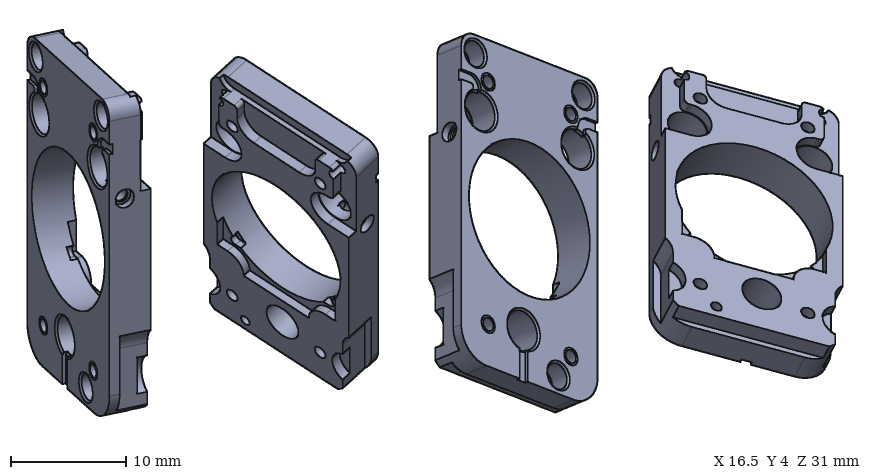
import cadquery as cq
import math

WIDTH = 16.5
HEIGHT = 31.0
THICKNESS = 4.0
HALF_WIDTH = WIDTH / 2
HALF_HEIGHT = HEIGHT / 2
TOP_CORNER_RADIUS = 1.5
BOTTOM_CORNER_RADIUS = 3.0
MARGIN = 1.55

POCKET_FLOOR = 3.0
STEP_FLOOR = 2.5
SIDE_RECESS_FLOOR = 1.0

BORE_DIAMETER = 14.6
EDGE_CHAMFER = 0.2

PORT_DIAMETER = 3.63
PORT_X = 5.83
PORT_Z = 8.52
LOWER_PORT = (-0.7, -10.7)
PORTS = [(-PORT_X, PORT_Z), (PORT_X, PORT_Z), LOWER_PORT]

SCREW_HOLE_DIAMETER = 1.0
COUNTERBORE_DIAMETER = 2.4
COUNTERBORE_DEPTH = 2.0
SCREW_X = 6.5
SCREW_Z = 13.75
LOWER_SCREW_X = 3.5
SCREWS = [(-SCREW_X, SCREW_Z), (SCREW_X, SCREW_Z), (LOWER_SCREW_X, -SCREW_Z)]

INSERT_BORE_DIAMETER = 1.25
FRONT_INSERT_DIAMETER = 1.65
FRONT_INSERT_LENGTH = POCKET_FLOOR
INSERT_X = 5.0
INSERT_Z = 11.5
FRONT_INSERTS = [(x, z) for x in (-INSERT_X, INSERT_X) for z in (-INSERT_Z, INSERT_Z)]

SIDE_INSERT_DIAMETER = 1.77
SIDE_INSERT_LENGTH = 0.25
SIDE_INSERT_SINK = 0.75
SIDE_HOLE_DEPTH = 3.0
SIDE_HOLE_Y = 1.5
SIDE_HOLE_Z = 6.23
DRILL_POINT_ANGLE = 118.0

GROOVE_WIDTH = 0.95
GROOVE_DEPTH = 0.3
GROOVE_BEND_RADIUS = 0.75
GROOVE_Z = 11.25
GROOVE_PORT_X = 6.32

POST_TOP_DROP = 1.0
POST_TOP_Z = HALF_HEIGHT - POST_TOP_DROP
POST_OUTER_X = SCREW_X
POST_INNER_X = 4.43
POST_OUTER_ROUND = 0.5
POST_INNER_ROUND = 0.37
PORT_SLOT_RADIUS = 1.9
TOP_POCKET_Z = 11.15
TOP_POCKET_RADIUS = 1.85

TOP_STEP_HALF_LENGTH = 6.0
TOP_STEP_RADIUS = 1.3

BORE_POCKET_FLOOR = 3.2
BORE_POCKET_HALF_WIDTH = 6.7
BORE_POCKET_Z = -7.8
SHOULDER_TOP_Z = -5.9
SHOULDER_INNER_X = 3.7
SHOULDER_RADIUS = 1.85
NOTCH_WIDTH = 0.95
NOTCH_END_X = 5.33
NOTCH_Z = -5.1

SIDE_RECESS_INSET = 0.7
SIDE_RECESS_RADIUS = 2.0
SIDE_RECESS_WALL_TOP_Z = -8.5
SIDE_NOTCH_RADIUS = 1.9
BOTTOM_STEP_HEIGHT = 0.55


def plane_at(y):
    """Sketch plane at depth y whose local axes are X and Z; extrusions run towards +Y."""
    return cq.Workplane(cq.Plane(origin=(0, y, 0), xDir=(1, 0, 0), normal=(0, -1, 0)))


def from_front(sketch, depth):
    """Extrude a sketch on a plane_at() plane in the +Y direction."""
    return sketch.extrude(-depth)


def cut_to_back(y, draw):
    """Cutter from depth y through the back; draw adds the closed outline to the plane."""
    return from_front(draw(plane_at(y)), THICKNESS - y + MARGIN)


def both_sides(body):
    """A body together with its mirror image across the YZ plane."""
    return body.union(body.mirror("YZ"))


def box_to_back(y, x_range, z_range):
    """Rectangular cutter over the given X and Z ranges, from depth y through the back."""
    (x0, x1), (z0, z1) = x_range, z_range
    return cut_to_back(y, lambda w: w.center((x0 + x1) / 2, (z0 + z1) / 2).rect(x1 - x0, z1 - z0))


def blank():
    plate = from_front(plane_at(0).rect(WIDTH, HEIGHT), THICKNESS)
    plate = plate.edges("|Y and >Z").fillet(TOP_CORNER_RADIUS)
    return plate.edges("|Y and <Z").fillet(BOTTOM_CORNER_RADIUS)


def chamfered_holes(points, diameter, depth):
    """Cutter for holes that enter through the front face with a 45 degree chamfer."""
    holes = from_front(plane_at(0).pushPoints(points).circle(diameter / 2), depth)
    rims = plane_at(0).pushPoints(points).circle(diameter / 2 + EDGE_CHAMFER)
    return holes.union(rims.extrude(-EDGE_CHAMFER, taper=45))


def front_holes():
    """All round holes along Y: bore, ports, counterbored screw holes and insert holes."""
    bore = from_front(plane_at(0).circle(BORE_DIAMETER / 2), THICKNESS)
    ports = chamfered_holes(PORTS, PORT_DIAMETER, THICKNESS)
    counterbores = chamfered_holes(SCREWS, COUNTERBORE_DIAMETER, COUNTERBORE_DEPTH)
    screw_holes = from_front(plane_at(0).pushPoints(SCREWS).circle(SCREW_HOLE_DIAMETER / 2), THICKNESS)
    insert_holes = from_front(
        plane_at(0).pushPoints(FRONT_INSERTS).circle(FRONT_INSERT_DIAMETER / 2), FRONT_INSERT_LENGTH
    )
    insert_bores = from_front(
        plane_at(0).pushPoints(FRONT_INSERTS).circle(INSERT_BORE_DIAMETER / 2), THICKNESS
    )
    return bore.union(ports).union(counterbores).union(screw_holes).union(insert_holes).union(insert_bores)


def side_hole():
    """Blind drilled hole in the left side: recess for the insert, narrower hole and drill point."""
    seat_end = SIDE_INSERT_SINK + SIDE_INSERT_LENGTH
    hole_radius = INSERT_BORE_DIAMETER / 2
    seat_radius = SIDE_INSERT_DIAMETER / 2
    point_length = hole_radius / math.tan(math.radians(DRILL_POINT_ANGLE / 2))
    half_section = cq.Workplane("XY", origin=(-HALF_WIDTH, SIDE_HOLE_Y, SIDE_HOLE_Z)).polyline(
        [
            (0, 0),
            (0, seat_radius),
            (seat_end, seat_radius),
            (seat_end, hole_radius),
            (SIDE_HOLE_DEPTH, hole_radius),
            (SIDE_HOLE_DEPTH + point_length, 0),
        ]
    )
    return half_section.close().revolve(360, (0, 0, 0), (1, 0, 0))


def groove_cutter(outline, port):
    """Groove of the given outline whose floor is chamfered where it meets the port."""
    groove = from_front(outline, GROOVE_DEPTH + EDGE_CHAMFER)
    channel = from_front(plane_at(0).rect(WIDTH, HEIGHT), GROOVE_DEPTH)
    rim = plane_at(GROOVE_DEPTH).center(*port).circle(PORT_DIAMETER / 2 + EDGE_CHAMFER)
    return groove.intersect(channel.union(rim.extrude(-EDGE_CHAMFER, taper=45)))


def side_groove():
    """Groove from the left edge that bends down into the left upper port."""
    bend_start_x = -GROOVE_PORT_X - GROOVE_BEND_RADIUS
    inner_radius = GROOVE_BEND_RADIUS - GROOVE_WIDTH / 2
    outer_radius = GROOVE_BEND_RADIUS + GROOVE_WIDTH / 2
    bend_z = GROOVE_Z - GROOVE_BEND_RADIUS
    diagonal = math.sqrt(0.5)
    outline = (
        plane_at(0)
        .moveTo(-HALF_WIDTH, bend_z + outer_radius)
        .lineTo(bend_start_x, bend_z + outer_radius)
        .threePointArc(
            (bend_start_x + outer_radius * diagonal, bend_z + outer_radius * diagonal),
            (bend_start_x + outer_radius, bend_z),
        )
        .lineTo(bend_start_x + outer_radius, PORT_Z)
        .lineTo(bend_start_x + inner_radius, PORT_Z)
        .lineTo(bend_start_x + inner_radius, bend_z)
        .threePointArc(
            (bend_start_x + inner_radius * diagonal, bend_z + inner_radius * diagonal),
            (bend_start_x, bend_z + inner_radius),
        )
        .lineTo(-HALF_WIDTH, bend_z + inner_radius)
        .close()
    )
    return groove_cutter(outline, (-PORT_X, PORT_Z))


def lower_groove():
    """Straight groove from the lower port to the bottom edge."""
    port_x, port_z = LOWER_PORT
    length = HALF_HEIGHT + port_z
    outline = plane_at(0).center(port_x, port_z - length / 2).rect(GROOVE_WIDTH, length)
    return groove_cutter(outline, LOWER_PORT)


def upper_side_cut():
    """Removes the back layer left of the left post and the slot that joins the port to the side."""
    outside = (-HALF_WIDTH - MARGIN, -POST_OUTER_X)
    slot_bottom_z = PORT_Z - PORT_SLOT_RADIUS
    slot_top_z = PORT_Z + PORT_SLOT_RADIUS
    beside_post = box_to_back(POCKET_FLOOR, outside, (PORT_Z, HALF_HEIGHT + MARGIN))
    slot = box_to_back(POCKET_FLOOR, (outside[0], -PORT_X), (slot_bottom_z, slot_top_z))
    slot_end = cut_to_back(POCKET_FLOOR, lambda w: w.center(-PORT_X, PORT_Z).circle(PORT_SLOT_RADIUS))
    return beside_post.union(slot).union(slot_end)


def post_corner_round(z, inward):
    """Cutter that rounds the outer corner of the left post at height z; inward points into the post."""
    r = POST_OUTER_ROUND
    corner_x = -POST_OUTER_X
    return cut_to_back(
        POCKET_FLOOR,
        lambda w: w.moveTo(corner_x, z)
        .lineTo(corner_x, z + inward * r)
        .radiusArc((corner_x + r, z), -inward * r)
        .close(),
    )


def top_pocket():
    """Open-topped pocket between the posts: rounded lips, then wide concave bottom corners."""
    lip = POST_INNER_ROUND
    corner = TOP_POCKET_RADIUS
    wall = POST_INNER_X
    open_z = HALF_HEIGHT + MARGIN
    strip = box_to_back(
        POCKET_FLOOR, (-HALF_WIDTH - MARGIN, HALF_WIDTH + MARGIN), (POST_TOP_Z, open_z)
    )
    trough = cut_to_back(
        POCKET_FLOOR,
        lambda w: w.moveTo(-wall - lip, POST_TOP_Z)
        .radiusArc((-wall, POST_TOP_Z - lip), lip)
        .lineTo(-wall, TOP_POCKET_Z + corner)
        .radiusArc((-wall + corner, TOP_POCKET_Z), -corner)
        .lineTo(wall - corner, TOP_POCKET_Z)
        .radiusArc((wall, TOP_POCKET_Z + corner), -corner)
        .lineTo(wall, POST_TOP_Z - lip)
        .radiusArc((wall + lip, POST_TOP_Z), lip)
        .close(),
    )
    return strip.union(trough)


def top_step():
    """Step in the top edge, with concave ends that run out at the plate corners."""
    r = TOP_STEP_RADIUS
    end_x = TOP_STEP_HALF_LENGTH
    return cut_to_back(
        STEP_FLOOR,
        lambda w: w.moveTo(-end_x, POST_TOP_Z)
        .lineTo(end_x, POST_TOP_Z)
        .radiusArc((end_x + r, POST_TOP_Z + r), -r)
        .lineTo(-end_x - r, POST_TOP_Z + r)
        .radiusArc((-end_x, POST_TOP_Z), -r)
        .close(),
    )


def bore_pocket():
    """Pocket behind the lower half of the bore, with a rounded shoulder at each side."""
    bore_center_z = 0
    wall = BORE_POCKET_HALF_WIDTH
    r = SHOULDER_RADIUS
    inner = SHOULDER_INNER_X
    top = SHOULDER_TOP_Z
    return cut_to_back(
        BORE_POCKET_FLOOR,
        lambda w: w.moveTo(-wall, bore_center_z)
        .lineTo(-wall, top)
        .lineTo(-inner - r, top)
        .radiusArc((-inner, top - r), r)
        .lineTo(-inner, BORE_POCKET_Z)
        .lineTo(inner, BORE_POCKET_Z)
        .lineTo(inner, top - r)
        .radiusArc((inner + r, top), r)
        .lineTo(wall, top)
        .lineTo(wall, bore_center_z)
        .close(),
    )


def bore_notches():
    """Round-ended notches in the bore wall, one at each side."""
    notch = box_to_back(
        STEP_FLOOR,
        (-NOTCH_END_X, 0),
        (NOTCH_Z - NOTCH_WIDTH / 2, NOTCH_Z + NOTCH_WIDTH / 2),
    )
    notch_end = cut_to_back(STEP_FLOOR, lambda w: w.center(-NOTCH_END_X, NOTCH_Z).circle(NOTCH_WIDTH / 2))
    return both_sides(notch.union(notch_end))


def side_recess():
    """Recess behind the front flange on the lower left side, running out in a concave curve."""
    wall = -HALF_WIDTH + SIDE_RECESS_INSET
    r = SIDE_RECESS_RADIUS
    outline_bottom = -HALF_HEIGHT - MARGIN
    return cut_to_back(
        SIDE_RECESS_FLOOR,
        lambda w: w.moveTo(wall, outline_bottom)
        .lineTo(wall, SIDE_RECESS_WALL_TOP_Z)
        .radiusArc((wall - r, SIDE_RECESS_WALL_TOP_Z + r), -r)
        .lineTo(wall - r, outline_bottom)
        .close(),
    )


def side_notch():
    """Half-round notch in the left edge, level with the lower inserts, cut from the back."""
    return cut_to_back(
        POCKET_FLOOR, lambda w: w.center(-HALF_WIDTH, -INSERT_Z).circle(SIDE_NOTCH_RADIUS)
    )


def bottom_step():
    """Step along the whole bottom edge, cut from the back."""
    return box_to_back(
        STEP_FLOOR,
        (-HALF_WIDTH - MARGIN, HALF_WIDTH + MARGIN),
        (-HALF_HEIGHT - MARGIN, -HALF_HEIGHT + BOTTOM_STEP_HEIGHT),
    )


def make_plate():
    plate = blank().cut(front_holes())
    for side_feature in (
        side_hole(),
        side_groove(),
        upper_side_cut(),
        post_corner_round(POST_TOP_Z, -1),
        post_corner_round(PORT_Z + PORT_SLOT_RADIUS, 1),
        side_recess(),
        side_notch(),
    ):
        plate = plate.cut(both_sides(side_feature))
    for feature in (
        lower_groove(),
        top_pocket(),
        top_step(),
        bore_pocket(),
        bore_notches(),
        bottom_step(),
    ):
        plate = plate.cut(feature)
    return plate


def make_front_insert(x, z):
    """Tube along Y, flush with the front face."""
    ring = plane_at(0).center(x, z).circle(FRONT_INSERT_DIAMETER / 2).circle(INSERT_BORE_DIAMETER / 2)
    return from_front(ring, FRONT_INSERT_LENGTH)


def make_side_insert(side):
    """Short tube along X, sunk below the side face; side is -1 for left and 1 for right."""
    start_x = side * (HALF_WIDTH - SIDE_INSERT_SINK)
    ring = cq.Workplane("YZ", origin=(start_x, SIDE_HOLE_Y, SIDE_HOLE_Z))
    ring = ring.circle(SIDE_INSERT_DIAMETER / 2).circle(INSERT_BORE_DIAMETER / 2)
    return ring.extrude(-side * SIDE_INSERT_LENGTH)


plate = make_plate()
front_inserts = [make_front_insert(x, z) for x, z in FRONT_INSERTS]
side_inserts = [make_side_insert(side) for side in (-1, 1)]

result = cq.Compound.makeCompound(
    [plate.val(), *[body.val() for body in front_inserts], *[body.val() for body in side_inserts]]
)